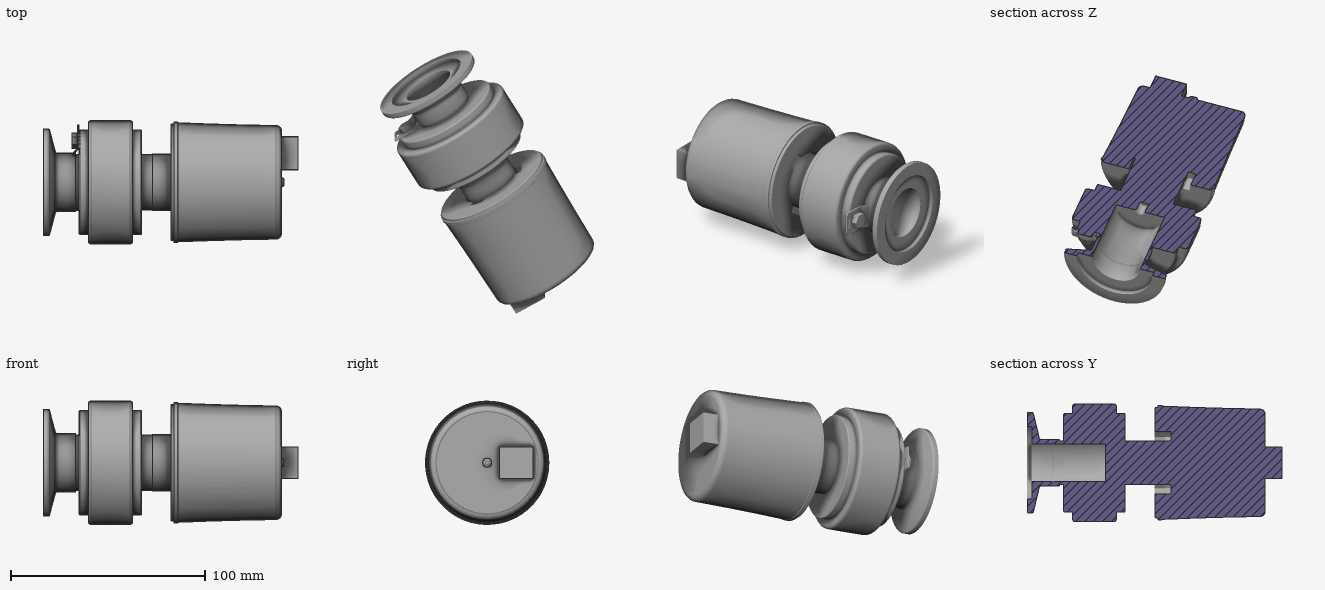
import cadquery as cq
import math


FLANGE_RADIUS = 55.0 / 2
FLANGE_RIM_THICKNESS = 3.0
FLANGE_BACK_ANGLE = 15.0
FLANGE_EDGE_FILLET = 0.9
NECK_RADIUS = 15.0
NECK_FILLET = 0.8
SELECTION_MARGIN = 0.1
NECK_END = 16.6
BORE_RADIUS = 26.2 / 2
BORE_END = 40.0
BORE_GROOVE_START = 12.5
BORE_GROOVE_WIDTH = 1.2
BORE_GROOVE_DEPTH = 0.15
RECESS_RADIUS = 41.2 / 2
RECESS_DEPTH = 2.2
PORT_RADIUS = 5.1 / 2
PORT_STEP_DEPTH = 1.0
PORT_PILOT_RADIUS = 4.6 / 2
PORT_DEPTH = 6.0

HUB_RADIUS = 54.0 / 2
HUB_START = 18.4
HUB_END = 50.5
HUB_FRONT_FILLET = 0.8
HUB_REAR_FILLET = 0.5
RING_RADIUS = 63.5 / 2
RING_START = 23.1
RING_END = 46.0
RING_FILLET = 1.5

TUBE_RADIUS = 29.0 / 2
SENSOR_TUBE_START = 56.2
TUBE_STEP = 0.1

HOUSING_START = 65.7
HOUSING_END = 122.6
FRONT_RADIUS = 30.0
FRONT_FILLET = 0.4
LIP_START = 67.2
LIP_END = 69.2
LIP_RADIUS = 31.0
LIP_FILLET = 0.2
SHELL_START_RADIUS = 30.75
SHELL_MIDDLE_X = 90.0
SHELL_MIDDLE_RADIUS = 29.9
SHELL_END_RADIUS = 29.2
SHELL_END_FILLET = 2.9
CAVITY_RADIUS = 15.2
CAVITY_DEPTH = 8.0
NOTCH_COUNT = 3
NOTCH_WIDTH = 8.9
NOTCH_RADIUS = 18.4
FIRST_NOTCH_ANGLE = 60

TOTAL_LENGTH = 131.15
CONNECTOR_WIDTH = 17.2
CONNECTOR_HEIGHT = 16.3
CONNECTOR_Y = 15.0
LAMP_RADIUS = 4.6 / 2
LAMP_PROTRUSION = 1.4
LAMP_EDGE_FILLET = 1.3

CLIP_THICKNESS = 0.8
CLIP_WIDTH = 12.3
CLIP_TOP = 29.4
CLIP_BOTTOM = 17.6
CLIP_CORNER_RADIUS = 1.5
CLIP_SLOT_WIDTH = 4.6
CLIP_SLOT_TOP = 28.2
CLIP_SLOT_BOTTOM = 26.9
SPRING_THICKNESS = 0.5
SPRING_TIP = (15.1, 14.5)
SPRING_END = (16.8, 13.2)
BOLT_Y = 21.45
BOLT_SIDES = 6
BOLT_ACROSS_CORNERS = 8.0
BOLT_HEAD_HEIGHT = 2.9


def cylinder(start, end, radius):
    """Cylinder about the X axis between two X positions."""
    return cq.Workplane("YZ", origin=(start, 0, 0)).circle(radius).extrude(end - start)


def make_flange():
    """Flange with a sloped back that runs into the neck."""
    slope_length = (FLANGE_RADIUS - NECK_RADIUS) * math.tan(math.radians(FLANGE_BACK_ANGLE))
    neck_start = FLANGE_RIM_THICKNESS + slope_length
    profile = (
        cq.Workplane("XY")
        .moveTo(0, 0)
        .lineTo(0, FLANGE_RADIUS)
        .lineTo(FLANGE_RIM_THICKNESS, FLANGE_RADIUS)
        .lineTo(neck_start, NECK_RADIUS)
        .lineTo(NECK_END, NECK_RADIUS)
        .lineTo(NECK_END, 0)
        .close()
    )
    flange = profile.revolve(360, (0, 0, 0), (1, 0, 0))
    rim_edges = flange.edges(cq.selectors.RadiusNthSelector(-1))
    flange = rim_edges.edges(">X").fillet(FLANGE_EDGE_FILLET)
    neck_root = cq.selectors.BoxSelector(
        (neck_start - SELECTION_MARGIN, -FLANGE_RADIUS, -FLANGE_RADIUS),
        (neck_start + SELECTION_MARGIN, FLANGE_RADIUS, FLANGE_RADIUS),
    )
    return flange.edges("%CIRCLE").edges(neck_root).fillet(NECK_FILLET)


def cut_bore(body):
    """Recess for the centring ring, the grooved bore and the small port in its floor."""
    groove_end = BORE_GROOVE_START + BORE_GROOVE_WIDTH
    body = body.cut(cylinder(0, RECESS_DEPTH, RECESS_RADIUS))
    body = body.cut(cylinder(0, BORE_END, BORE_RADIUS))
    body = body.cut(cylinder(BORE_GROOVE_START, groove_end, BORE_RADIUS + BORE_GROOVE_DEPTH))
    body = body.cut(cylinder(BORE_END, BORE_END + PORT_STEP_DEPTH, PORT_RADIUS))
    return body.cut(cylinder(BORE_END, BORE_END + PORT_DEPTH, PORT_PILOT_RADIUS))


def make_collar():
    """Hub and ring, both with rounded outer edges."""
    hub = cylinder(HUB_START, HUB_END, HUB_RADIUS)
    hub = hub.edges("<X").fillet(HUB_FRONT_FILLET)
    hub = hub.edges(">X").fillet(HUB_REAR_FILLET)
    ring = cylinder(RING_START, RING_END, RING_RADIUS).edges().fillet(RING_FILLET)
    return hub.union(ring)


def make_tube():
    """Core tube from the neck to the cavity floor, slightly thicker from the sensor joint on."""
    front_tube = cylinder(NECK_END, SENSOR_TUBE_START, TUBE_RADIUS - TUBE_STEP)
    sensor_tube = cylinder(SENSOR_TUBE_START, HOUSING_START + CAVITY_DEPTH, TUBE_RADIUS)
    return front_tube.union(sensor_tube)


def make_housing():
    """Front disc, lip and tapered shell, with a notched cavity in the front face."""
    front = cylinder(HOUSING_START, LIP_START, FRONT_RADIUS).edges("<X").fillet(FRONT_FILLET)
    lip = cylinder(LIP_START, LIP_END, LIP_RADIUS).edges(">X").fillet(LIP_FILLET)
    shell = (
        cq.Workplane("XY")
        .moveTo(LIP_START, 0)
        .lineTo(LIP_START, SHELL_START_RADIUS)
        .threePointArc((SHELL_MIDDLE_X, SHELL_MIDDLE_RADIUS), (HOUSING_END, SHELL_END_RADIUS))
        .lineTo(HOUSING_END, 0)
        .close()
        .revolve(360, (0, 0, 0), (1, 0, 0))
        .edges(">X")
        .fillet(SHELL_END_FILLET)
    )
    housing = front.union(lip).union(shell)
    return housing.cut(make_cavity())


def make_cavity():
    """Clearance around the tube, with evenly spaced notches in its wall."""
    cavity_end = HOUSING_START + CAVITY_DEPTH
    cavity = cylinder(HOUSING_START, cavity_end, CAVITY_RADIUS)
    notch_limit = cylinder(HOUSING_START, cavity_end, NOTCH_RADIUS)
    slab = (
        cq.Workplane("YZ", origin=(HOUSING_START, NOTCH_RADIUS / 2, 0))
        .rect(NOTCH_RADIUS, NOTCH_WIDTH)
        .extrude(CAVITY_DEPTH)
    )
    notch = slab.intersect(notch_limit)
    for index in range(NOTCH_COUNT):
        angle = FIRST_NOTCH_ANGLE + index * 360 / NOTCH_COUNT
        cavity = cavity.union(notch.rotate((0, 0, 0), (1, 0, 0), angle))
    return cavity.cut(cylinder(HOUSING_START, cavity_end, TUBE_RADIUS))


def make_connector():
    """Rectangular connector block on the rear face."""
    block = cq.Workplane("YZ", origin=(HOUSING_END, CONNECTOR_Y, 0))
    return block.rect(CONNECTOR_WIDTH, CONNECTOR_HEIGHT).extrude(TOTAL_LENGTH - HOUSING_END)


def make_lamp():
    """Domed indicator lamp at the middle of the rear face."""
    tip_x = HOUSING_END + LAMP_PROTRUSION
    lamp = cylinder(tip_x - 2 * LAMP_RADIUS, tip_x, LAMP_RADIUS)
    return lamp.edges(">X").fillet(LAMP_EDGE_FILLET)


def make_clip():
    """Slotted plate against the hub, with a bent spring leg that touches the neck."""
    plate_front = HUB_START - CLIP_THICKNESS
    plate = (
        cq.Workplane("YZ", origin=(plate_front, (CLIP_TOP + CLIP_BOTTOM) / 2, 0))
        .rect(CLIP_TOP - CLIP_BOTTOM, CLIP_WIDTH)
        .extrude(CLIP_THICKNESS)
        .edges("|X and >Y")
        .fillet(CLIP_CORNER_RADIUS)
    )
    slot = (
        cq.Workplane("YZ", origin=(plate_front, (CLIP_SLOT_TOP + CLIP_SLOT_BOTTOM) / 2, 0))
        .rect(CLIP_SLOT_TOP - CLIP_SLOT_BOTTOM, CLIP_SLOT_WIDTH)
        .extrude(CLIP_THICKNESS)
    )
    plate_bend = (HUB_START - CLIP_THICKNESS / 2, CLIP_BOTTOM)
    clip = plate.cut(slot)
    for start, end in ((plate_bend, SPRING_TIP), (SPRING_TIP, SPRING_END)):
        clip = clip.union(make_spring_leg(start, end))
    return clip


def make_spring_leg(start, end):
    """Flat strip between two (x, y) points, as wide as the clip."""
    run = end[0] - start[0]
    rise = end[1] - start[1]
    middle = ((start[0] + end[0]) / 2, (start[1] + end[1]) / 2, 0)
    length = math.hypot(run, rise) + SPRING_THICKNESS
    strip = cq.Workplane("XY").box(length, SPRING_THICKNESS, CLIP_WIDTH)
    strip = strip.rotate((0, 0, 0), (0, 0, 1), math.degrees(math.atan2(rise, run)))
    return strip.translate(middle)


def make_bolt():
    """Hexagonal bolt head that holds the clip."""
    head_base = HUB_START - CLIP_THICKNESS
    head = cq.Workplane("YZ", origin=(head_base - BOLT_HEAD_HEIGHT, BOLT_Y, 0))
    return head.polygon(BOLT_SIDES, BOLT_ACROSS_CORNERS).extrude(BOLT_HEAD_HEIGHT)


result = make_flange().union(make_tube()).union(make_collar())
result = result.union(make_clip()).union(make_bolt())
result = cut_bore(result)
result = result.union(make_housing()).union(make_connector()).union(make_lamp())